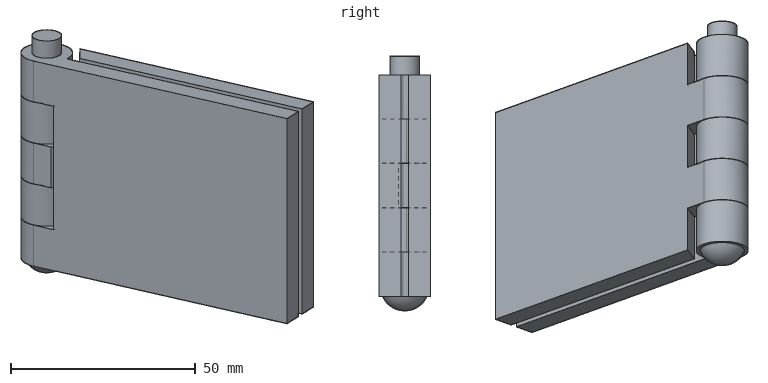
import cadquery as cq
import math

length = 87.0
barrel_diameter = 14.0
barrel_radius = barrel_diameter / 2
leaf_thickness = 6.0
leaf_inner_y = barrel_radius - leaf_thickness
leaf_end_x = length - barrel_radius

knuckle_sides = (-1, 1, -1, 1, -1)
middle_knuckle = len(knuckle_sides) // 2
knuckle_height = 12.0
knuckle_clearance = 0.1
height = len(knuckle_sides) * knuckle_height

pin_diameter = 8.0
pin_projection = 5.05
head_radius = 6.0
head_height = 3.9

notch_edge_x = 6.3
notch_angle = 30.0
notch_root_x = notch_edge_x + leaf_thickness * math.tan(math.radians(notch_angle))
middle_arm_edge_x = 5.6
root_overlap = 0.1
root_fillet = 0.5


def leaf_plate(side):
    """Full-height plate with a sloping near edge; side is +1 for +Y, -1 for -Y."""
    outer_y = side * barrel_radius
    inner_y = side * leaf_inner_y
    outline = [
        (notch_edge_x, outer_y),
        (leaf_end_x, outer_y),
        (leaf_end_x, inner_y),
        (notch_root_x, inner_y),
    ]
    return cq.Workplane("XY").polyline(outline).close().extrude(height)


def knuckle(index):
    """Round knuckle with a tangent arm that joins its leaf, filleted where the arm leaves the barrel."""
    side = knuckle_sides[index]
    outer_y = side * barrel_radius
    inner_y = side * leaf_inner_y
    root_x = math.sqrt(barrel_radius**2 - leaf_inner_y**2)

    if index == middle_knuckle:
        arm_edge_x = middle_arm_edge_x
        arm_root_x = notch_root_x + root_overlap
    else:
        arm_edge_x = notch_edge_x
        arm_root_x = notch_root_x

    gap = knuckle_clearance if index > 0 else 0
    body_height = knuckle_height - gap
    plane = cq.Workplane("XY", origin=(0, 0, index * knuckle_height + gap))
    outline = [(0, outer_y), (arm_edge_x, outer_y), (arm_root_x, inner_y), (0, inner_y)]
    arm = plane.polyline(outline).close().extrude(body_height)
    body = plane.circle(barrel_radius).extrude(body_height).union(arm)

    mid_z = index * knuckle_height + gap + body_height / 2
    root_edge = cq.selectors.NearestToPointSelector((root_x, inner_y, mid_z))
    return body.edges("|Z").edges(root_edge).fillet(root_fillet)


def pin():
    """Straight pin through the barrel, with a spherical cap as its head."""
    shank = cq.Workplane("XY").circle(pin_diameter / 2).extrude(height + pin_projection)
    cap_radius = (head_radius**2 + head_height**2) / (2 * head_height)
    head = (
        cq.Workplane("XZ")
        .lineTo(head_radius, 0)
        .radiusArc((0, -head_height), cap_radius)
        .close()
        .revolve(360, (0, 0, 0), (0, 1, 0))
    )
    return shank.union(head)


result = pin().union(leaf_plate(-1)).union(leaf_plate(1))
for knuckle_index in range(len(knuckle_sides)):
    result = result.union(knuckle(knuckle_index))